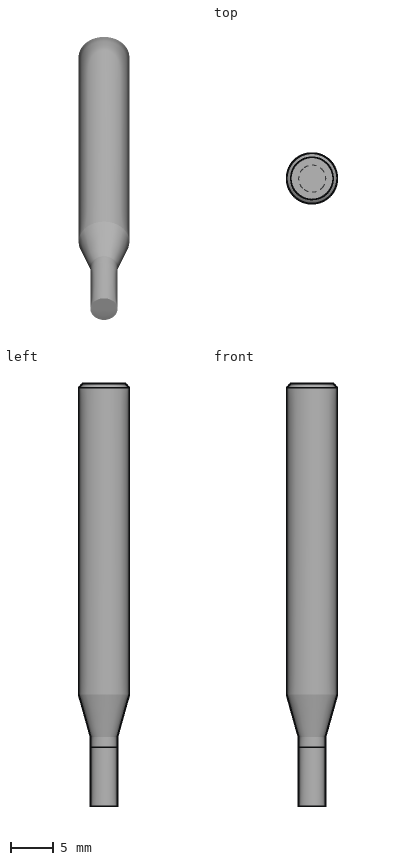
import cadquery as cq

total_length = 50.0
shank_diameter = 6.0
tip_diameter = 3.2
cutter_length = 7.0
neck_length = 1.2
cone_length = 5.0
end_chamfer = 0.5

shank_radius = shank_diameter / 2
tip_radius = tip_diameter / 2
cone_start = cutter_length + neck_length
cone_end = cone_start + cone_length


def make_cutter():
    """Plain cylindrical cutting portion standing on the XY plane."""
    return cq.Workplane("XY").circle(tip_radius).extrude(cutter_length)


def make_shank():
    """Neck, cone and chamfered shank, revolved about Z above the cutter."""
    return (
        cq.Workplane("XZ")
        .moveTo(0, cutter_length)
        .lineTo(tip_radius, cutter_length)
        .lineTo(tip_radius, cone_start)
        .lineTo(shank_radius, cone_end)
        .lineTo(shank_radius, total_length - end_chamfer)
        .lineTo(shank_radius - end_chamfer, total_length)
        .lineTo(0, total_length)
        .close()
        .revolve(360, (0, 0, 0), (0, 1, 0))
    )


cutter = make_cutter()
shank = make_shank()
result = cq.Compound.makeCompound([cutter.val(), shank.val()])